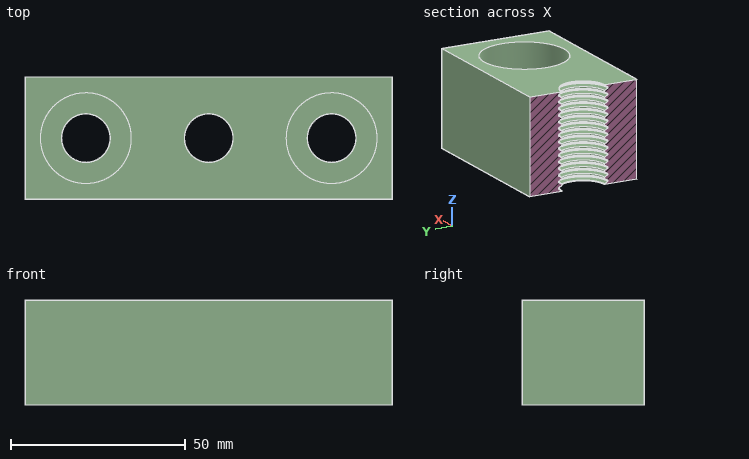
import cadquery as cq
import math

LENGTH = 105.0
WIDTH = 35.0
HEIGHT = 30.0

THREAD_DIAMETER = 16.0
THREAD_PITCH = 2.0
FLANK_ANGLE = math.radians(30)
CREST_FLAT = THREAD_PITCH / 4
ROOT_FLAT = THREAD_PITCH / 8
GROOVE_MOUTH = THREAD_PITCH - CREST_FLAT
GROOVE_DEPTH = (GROOVE_MOUTH - ROOT_FLAT) / 2 / math.tan(FLANK_ANGLE)
ROOT_RADIUS = THREAD_DIAMETER / 2
CREST_RADIUS = ROOT_RADIUS - GROOVE_DEPTH
GROOVE_COUNT = round(HEIGHT / THREAD_PITCH)

HOLE_SPACING = 70.3
HOLE_DIAMETER = 2 * CREST_RADIUS
COUNTERBORE_DIAMETER = 26.0
COUNTERBORE_DEPTH = HEIGHT / 2


def make_block():
    return cq.Workplane("XY").box(LENGTH, WIDTH, HEIGHT, centered=(True, True, False))


def cut_counterbored_holes(body):
    half_spacing = HOLE_SPACING / 2
    return (
        body.faces(">Z")
        .workplane()
        .pushPoints([(-half_spacing, 0), (half_spacing, 0)])
        .cboreHole(HOLE_DIAMETER, COUNTERBORE_DIAMETER, COUNTERBORE_DEPTH)
    )


def make_thread_cutter():
    """Bore with a trapezoidal ring groove in the middle of every pitch."""
    profile = cq.Workplane("XZ").lineTo(CREST_RADIUS, 0)
    for index in range(GROOVE_COUNT):
        middle = index * THREAD_PITCH + THREAD_PITCH / 2
        profile = (
            profile.lineTo(CREST_RADIUS, middle - GROOVE_MOUTH / 2)
            .lineTo(ROOT_RADIUS, middle - ROOT_FLAT / 2)
            .lineTo(ROOT_RADIUS, middle + ROOT_FLAT / 2)
            .lineTo(CREST_RADIUS, middle + GROOVE_MOUTH / 2)
        )
    profile = profile.lineTo(CREST_RADIUS, HEIGHT).lineTo(0, HEIGHT).close()
    return profile.revolve(360, (0, 0, 0), (0, 1, 0))


block = make_block()
drilled_block = cut_counterbored_holes(block)
result = drilled_block.cut(make_thread_cutter())